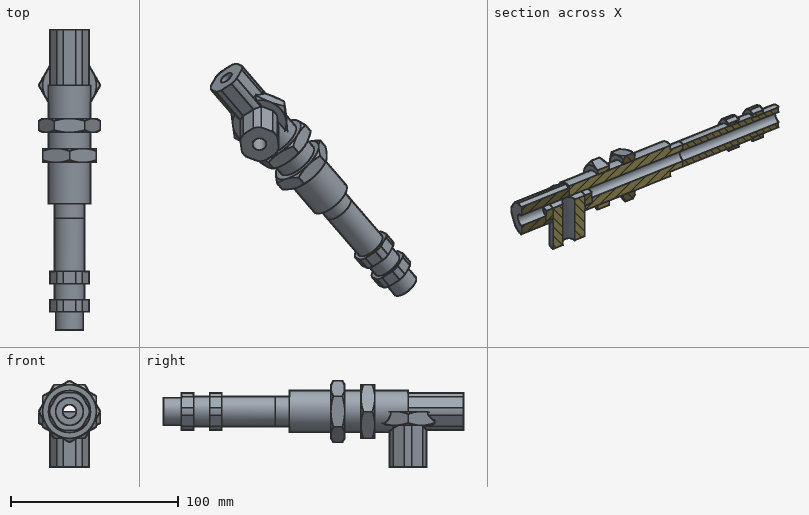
import cadquery as cq
import math

OVERALL_LENGTH = 179.0
BORE_DIAMETER = 8.0

GRIP_LENGTH = 33.1
GRIP_DIAMETER = 23.5
GRIP_ACROSS_FLATS = 22.2
JUNCTION_Y = OVERALL_LENGTH - GRIP_LENGTH

BARREL_DIAMETER = 25.0
BARREL_FRONT_Y = 75.2
STUB_LENGTH = 8.6
STUB_FRONT_Y = BARREL_FRONT_Y - STUB_LENGTH

TUBE_DIAMETER = 18.0
TIP_DIAMETER = 16.5
TIP_EXPOSED_LENGTH = 10.7

NUT_ACROSS_CORNERS = 36.9
NUT_ACROSS_FLATS = NUT_ACROSS_CORNERS * math.cos(math.radians(30))
NUT_THICKNESS = 8.2
NUT_CHAMFER_ANGLE = 30.0
FRONT_NUT_Y = 99.9
REAR_NUT_Y = 117.8

COLLAR_THICKNESS = 7.3
COLLAR_SPACING = 16.8
COLLAR_COUNT = 2
TIP_LENGTH = TIP_EXPOSED_LENGTH + COLLAR_THICKNESS


def bar_along_y(diameter, start_y, length):
    """Round bar on the main axis, growing toward +Y."""
    base = cq.Plane(origin=(0, start_y, 0), xDir=(0, 0, 1), normal=(0, 1, 0))
    return cq.Workplane(base).circle(diameter / 2).extrude(length)


def hex_along_y(across_flats, start_y, length):
    """Hexagonal bar on the main axis with its corners on +X and -X."""
    across_corners = across_flats / math.cos(math.radians(30))
    base = cq.Plane(origin=(0, start_y, 0), xDir=(1, 0, 0), normal=(0, 1, 0))
    return cq.Workplane(base).polygon(6, across_corners).extrude(length)


def flatted_bar(start_y, length):
    """Round bar with six narrow flats, two of them facing +Z and -Z."""
    round_bar = bar_along_y(GRIP_DIAMETER, start_y, length)
    return round_bar.intersect(hex_along_y(GRIP_ACROSS_FLATS, start_y, length))


def nut_blank(start_y):
    """Chamfered hexagon without a hole, its corners on +X and -X."""
    face_radius = NUT_ACROSS_FLATS / 2
    corner_radius = NUT_ACROSS_CORNERS / 2
    chamfer_depth = (corner_radius - face_radius) * math.tan(math.radians(NUT_CHAMFER_ANGLE))
    end_y = start_y + NUT_THICKNESS
    chamfer_envelope = (
        cq.Workplane("XY")
        .moveTo(0, start_y)
        .lineTo(face_radius, start_y)
        .lineTo(corner_radius, start_y + chamfer_depth)
        .lineTo(corner_radius, end_y - chamfer_depth)
        .lineTo(face_radius, end_y)
        .lineTo(0, end_y)
        .close()
        .revolve(360, (0, 0, 0), (0, 1, 0))
    )
    return hex_along_y(NUT_ACROSS_FLATS, start_y, NUT_THICKNESS).intersect(chamfer_envelope)


def turn_down(body):
    """Swing a body about the junction so that its +Y direction points to -Z."""
    return body.rotate((0, JUNCTION_Y, 0), (1, JUNCTION_Y, 0), -90)


def make_grip():
    """Bored grip running rearward from the junction."""
    bore = bar_along_y(BORE_DIAMETER, JUNCTION_Y, GRIP_LENGTH)
    return flatted_bar(JUNCTION_Y, GRIP_LENGTH).cut(bore)


def make_barrel_nut(start_y, turn):
    """Hex nut around the barrel, turned about the main axis by an angle in degrees."""
    hole = bar_along_y(BARREL_DIAMETER, start_y, NUT_THICKNESS)
    return nut_blank(start_y).cut(hole).rotate((0, 0, 0), (0, 1, 0), turn)


def make_side_nut():
    """Hex nut around the upper end of the side grip, with a hole that matches the grip."""
    nut = nut_blank(JUNCTION_Y).cut(flatted_bar(JUNCTION_Y, NUT_THICKNESS))
    return turn_down(nut)


def cut_side_recess(body):
    """Remove the space that the side grip and its nut take up."""
    grip_space = turn_down(flatted_bar(JUNCTION_Y, GRIP_LENGTH))
    nut_space = turn_down(nut_blank(JUNCTION_Y))
    return body.cut(grip_space).cut(nut_space)


def make_housing():
    """Barrel and stub, bored through and recessed for the side branch."""
    barrel = bar_along_y(BARREL_DIAMETER, BARREL_FRONT_Y, JUNCTION_Y - BARREL_FRONT_Y)
    stub = bar_along_y(TUBE_DIAMETER, STUB_FRONT_Y, STUB_LENGTH)
    bore = bar_along_y(BORE_DIAMETER, STUB_FRONT_Y, JUNCTION_Y - STUB_FRONT_Y)
    return cut_side_recess(barrel.union(stub).cut(bore))


def make_tube():
    """Bored tube with a thinner tip at its front end."""
    body = bar_along_y(TUBE_DIAMETER, TIP_LENGTH, STUB_FRONT_Y - TIP_LENGTH)
    tip = bar_along_y(TIP_DIAMETER, 0, TIP_LENGTH)
    bore = bar_along_y(BORE_DIAMETER, 0, STUB_FRONT_Y)
    return body.union(tip).cut(bore)


def make_collar(start_y):
    """Flatted ring around the tip or, behind the step, around the full tube."""
    hole_diameter = TIP_DIAMETER if start_y < TIP_LENGTH else TUBE_DIAMETER
    hole = bar_along_y(hole_diameter, start_y, COLLAR_THICKNESS)
    return flatted_bar(start_y, COLLAR_THICKNESS).cut(hole)


housing = make_housing()
tube = make_tube()
rear_grip = cut_side_recess(make_grip())
side_grip = turn_down(make_grip())
side_nut = make_side_nut()

barrel_nuts = [make_barrel_nut(start_y, turn) for start_y, turn in ((FRONT_NUT_Y, 30), (REAR_NUT_Y, 0))]
collars = [make_collar(TIP_EXPOSED_LENGTH + i * COLLAR_SPACING) for i in range(COLLAR_COUNT)]

bodies = [housing, tube, rear_grip, side_grip, side_nut, *barrel_nuts, *collars]
result = cq.Compound.makeCompound([body.solids().val() for body in bodies])